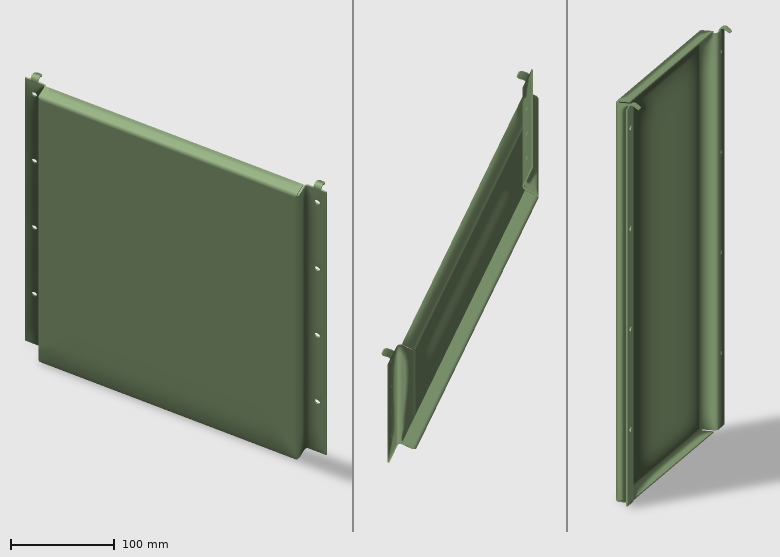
import cadquery as cq
import math

sheet = 1.5
bend_inner = 2.5
bend_outer = bend_inner + sheet

panel_width = 280.0
panel_height = 400.0
end_wall_depth = 15.5

overall_width = 324.0
flange_back = 19.3
flange_height = 395.0
flange_front = flange_back - sheet
corner_gap = (panel_height - flange_height) / 2

hole_diameter = 6.0
hole_pitch = 100.0
hole_count = 4
hole_edge_offset = 10.0
first_hole_drop = 20.0
hole_x = overall_width / 2 - hole_edge_offset

hook_width = 8.0
hook_top = 201.65
hook_tip = 29.45
hook_slope = math.radians(35)
hook_tip_width = 5.0
hook_taper_length = 2.5


def tray_block(inset, front_radius):
    """Solid block with rounded front edges, inset from the tray's outer faces."""
    block = cq.Workplane("XY").box(
        panel_width - 2 * inset, flange_back, panel_height - 2 * inset, centered=(True, False, True)
    )
    return block.translate((0, inset, 0)).faces("<Y").edges().fillet(front_radius)


def make_tray():
    """Front panel with four walls; the end walls are shallower than the side walls."""
    tray = tray_block(0, bend_outer).cut(tray_block(sheet, bend_inner))
    side_wall_depth = flange_back - bend_outer
    tray = tray.intersect(
        cq.Workplane("XY").box(panel_width, side_wall_depth, panel_height, centered=(True, False, True))
    )
    end_trim = cq.Workplane("XY").box(
        panel_width - 2 * sheet, flange_back, panel_height, centered=(True, False, True)
    )
    tray = tray.cut(end_trim.translate((0, end_wall_depth, 0)))
    for x_side in (-1, 1):
        for z_side in (-1, 1):
            notch = cq.Workplane("XY").box(2 * sheet, 2 * flange_back, 2 * corner_gap)
            tray = tray.cut(notch.translate((x_side * panel_width / 2, 0, z_side * panel_height / 2)))
    return tray


def make_flange():
    """Left flange with the bend that joins it to the back of the side wall."""
    wall_outer = -panel_width / 2
    wall_inner = wall_outer + sheet
    bend_x = wall_outer - bend_inner
    bend_y = flange_back - bend_outer
    diagonal = math.sqrt(0.5)
    return (
        cq.Workplane("XY")
        .workplane(offset=-flange_height / 2)
        .moveTo(-overall_width / 2, flange_front)
        .lineTo(bend_x, flange_front)
        .threePointArc(
            (bend_x + bend_inner * diagonal, bend_y + bend_inner * diagonal), (wall_outer, bend_y)
        )
        .lineTo(wall_inner, bend_y)
        .threePointArc(
            (bend_x + bend_outer * diagonal, bend_y + bend_outer * diagonal), (bend_x, flange_back)
        )
        .lineTo(-overall_width / 2, flange_back)
        .close()
        .extrude(flange_height)
    )


def make_hook():
    """Left hook: rises from the flange, bends backwards past level and slopes down to its tip."""
    base_z = flange_height / 2
    centre_y = flange_front + bend_outer
    centre_z = hook_top - bend_outer

    def bend_point(radius, angle):
        return (centre_y + radius * math.sin(angle), centre_z + radius * math.cos(angle))

    outer_end = bend_point(bend_outer, hook_slope)
    inner_end = bend_point(bend_inner, hook_slope)
    tip_run = hook_tip - outer_end[0]
    tip_drop = tip_run * math.tan(hook_slope)
    profile = (
        cq.Workplane("YZ")
        .moveTo(flange_front, base_z)
        .lineTo(flange_front, centre_z)
        .threePointArc(bend_point(bend_outer, 0), outer_end)
        .lineTo(outer_end[0] + tip_run, outer_end[1] - tip_drop)
        .lineTo(inner_end[0] + tip_run, inner_end[1] - tip_drop)
        .lineTo(*inner_end)
        .threePointArc(bend_point(bend_inner, 0), (flange_back, centre_z))
        .lineTo(flange_back, base_z)
        .close()
    )
    hook = profile.extrude(hook_width / 2, both=True)
    taper_start = hook_tip - hook_taper_length
    plan = (
        cq.Workplane("XY")
        .workplane(offset=-hook_top)
        .moveTo(-hook_width / 2, flange_front)
        .lineTo(-hook_width / 2, taper_start)
        .lineTo(-hook_tip_width / 2, hook_tip)
        .lineTo(hook_tip_width / 2, hook_tip)
        .lineTo(hook_width / 2, taper_start)
        .lineTo(hook_width / 2, flange_front)
        .close()
        .extrude(2 * hook_top)
    )
    hook = hook.intersect(plan)
    return hook.translate((-hole_x, 0, 0))


def make_holes():
    """Cutters for the mounting holes of the left flange."""
    first_hole_z = flange_height / 2 - first_hole_drop
    centres = [(-hole_x, first_hole_z - i * hole_pitch) for i in range(hole_count)]
    return (
        cq.Workplane("XZ", origin=(0, flange_back, 0))
        .pushPoints(centres)
        .circle(hole_diameter / 2)
        .extrude(sheet)
    )


left_side = make_flange().cut(make_holes()).union(make_hook())
result = make_tray().union(left_side).union(left_side.mirror("YZ"))